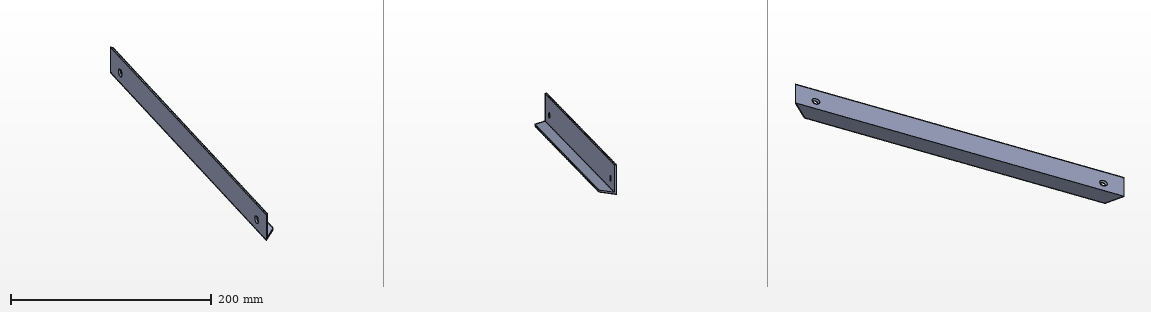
import cadquery as cq

length = 350.0
flange_width = 15.0
web_height = 30.0
thickness = 2.0
hole_spacing = 306.0
hole_height = 12.0
hole_diameter = 5.0
countersink_diameter = 8.0
countersink_angle = 90.0


def angle_bar():
    """L-section bar running along X, with its outer corner at Y = 0, Z = 0."""
    section = [
        (0, 0),
        (flange_width, 0),
        (flange_width, thickness),
        (thickness, thickness),
        (thickness, web_height),
        (0, web_height),
    ]
    return cq.Workplane("YZ").polyline(section).close().extrude(length / 2, both=True)


def mitre_envelope():
    """Trapezoidal prism whose 45 degree ends mitre both the web and the flange."""
    half_front = length / 2
    half_back = half_front - flange_width
    outline = [
        (-half_front, 0),
        (half_front, 0),
        (half_back, flange_width),
        (-half_back, flange_width),
    ]
    return cq.Workplane("XY").polyline(outline).close().extrude(web_height)


bar = angle_bar().intersect(mitre_envelope())

result = (
    bar.copyWorkplane(cq.Workplane("XZ"))
    .pushPoints([(side * hole_spacing / 2, hole_height) for side in (-1, 1)])
    .cskHole(hole_diameter, countersink_diameter, countersink_angle)
)